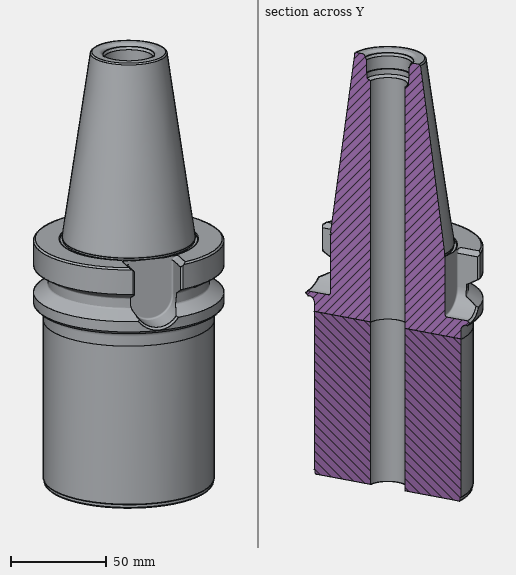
import cadquery as cq
import math

total_height = 237.8
sleeve_height = 90.0
flange_bottom_z = 98.0
flange_top_z = 134.5
gauge_z = 136.0

gauge_radius = 35.0
taper_ratio = 7 / 48
tip_chamfer_height = 0.7
tip_chamfer_depth = 0.7

taper_land_height = 0.7
relief_ring_radius = 36.6
relief_ring_depth = 0.5
relief_ring_undercut = 0.2

flange_diameter = 100.0
flange_radius = flange_diameter / 2
flange_top_chamfer = 1.0
flange_bottom_chamfer = 1.5
groove_top_z = 120.0
groove_bottom_z = 105.0
groove_radius = 42.3
groove_flank_angle = 30.0
groove_fillet = 1.0

body_radius = 45.0
neck_fillet = 2.9
rim_radius = 44.5
rim_height = 2.1
rim_step_height = 0.5
rim_chamfer = 0.7

bore_radius = 10.5
mouth_radius = 15.5
counterbore_radius = 13.5
mouth_depth = 1.5
counterbore_depth = 1.7
thread_radius = 12.8
thread_start_depth = 3.0
thread_end_depth = 10.0
core_radius = 12.5
core_taper_height = 0.2
core_depth = 13.0
core_cone_height = 1.2

slot_width = 25.5
slot_lowest_z = 100.8
slot_wall_x = 35.2
slot_wall_fillet = 1.0
top_bevel_width = 2.9
top_bevel_height = 2.4
corner_chamfer = 1.2
corner_tolerance = 0.2


def revolve_profile(outline):
    return outline.close().revolve(360, (0, 0, 0), (0, 1, 0))


def make_shank():
    """Tapered shank, grooved flange and neck, turned as one profile."""
    flank_height = (flange_radius - groove_radius) * math.tan(math.radians(groove_flank_angle))
    tip_radius = gauge_radius - (total_height - gauge_z) * taper_ratio
    chamfer_start_radius = tip_radius + tip_chamfer_height * taper_ratio
    neck_corner = (body_radius + neck_fillet, flange_bottom_z)
    land_bottom_z = gauge_z - taper_land_height
    relief_floor_z = flange_top_z - relief_ring_depth
    relief_root_radius = gauge_radius - relief_ring_undercut
    outline = (
        cq.Workplane("XZ")
        .moveTo(0, sleeve_height)
        .lineTo(body_radius, sleeve_height)
        .lineTo(body_radius, flange_bottom_z - neck_fillet)
        .radiusArc(neck_corner, neck_fillet)
        .lineTo(flange_radius - flange_bottom_chamfer, flange_bottom_z)
        .lineTo(flange_radius, flange_bottom_z + flange_bottom_chamfer)
        .lineTo(flange_radius, groove_bottom_z)
        .lineTo(groove_radius, groove_bottom_z + flank_height)
        .lineTo(groove_radius, groove_top_z - flank_height)
        .lineTo(flange_radius, groove_top_z)
        .lineTo(flange_radius, flange_top_z - flange_top_chamfer)
        .lineTo(flange_radius - flange_top_chamfer, flange_top_z)
        .lineTo(relief_ring_radius, flange_top_z)
        .lineTo(relief_ring_radius - relief_ring_depth, relief_floor_z)
        .lineTo(relief_root_radius, relief_floor_z)
        .lineTo(relief_root_radius, land_bottom_z - relief_ring_undercut)
        .lineTo(gauge_radius, land_bottom_z)
        .lineTo(gauge_radius, gauge_z)
        .lineTo(chamfer_start_radius, total_height - tip_chamfer_height)
        .lineTo(tip_radius - tip_chamfer_depth, total_height)
        .lineTo(0, total_height)
    )
    shank = revolve_profile(outline)
    root_selector = cq.selectors.BoxSelector(
        (-flange_radius, -flange_radius, groove_bottom_z + flank_height / 2),
        (flange_radius, flange_radius, groove_top_z - flank_height / 2),
        boundingbox=False,
    )
    return shank.edges(root_selector).edges("%CIRCLE").fillet(groove_fillet)


def make_shank_bore():
    """Stepped bore through the shank, opening at the small end with a rounded mouth."""
    mouth_arc_radius = math.hypot(mouth_radius - counterbore_radius, mouth_depth)
    return revolve_profile(
        cq.Workplane("XZ")
        .moveTo(0, sleeve_height)
        .lineTo(bore_radius, sleeve_height)
        .lineTo(bore_radius, total_height - core_depth - core_cone_height)
        .lineTo(core_radius, total_height - core_depth)
        .lineTo(core_radius, total_height - thread_end_depth - core_taper_height)
        .lineTo(thread_radius, total_height - thread_end_depth)
        .lineTo(thread_radius, total_height - thread_start_depth)
        .lineTo(counterbore_radius, total_height - counterbore_depth)
        .lineTo(counterbore_radius, total_height - mouth_depth)
        .radiusArc((mouth_radius, total_height), mouth_arc_radius)
        .lineTo(0, total_height)
    )


def make_drive_slot():
    """Round-ended drive slot on the +X side, with bevelled top edges and a filleted back wall."""
    half_width = slot_width / 2
    arc_center_z = slot_lowest_z + half_width
    bevel_half_width = half_width + top_bevel_width
    bevel_bottom_z = flange_top_z - top_bevel_height
    slot = (
        cq.Workplane("YZ", origin=(slot_wall_x, 0, 0))
        .moveTo(-bevel_half_width, gauge_z)
        .lineTo(-bevel_half_width, flange_top_z)
        .lineTo(-half_width, bevel_bottom_z)
        .lineTo(-half_width, arc_center_z)
        .threePointArc((0, slot_lowest_z), (half_width, arc_center_z))
        .lineTo(half_width, bevel_bottom_z)
        .lineTo(bevel_half_width, flange_top_z)
        .lineTo(bevel_half_width, gauge_z)
        .close()
        .extrude(flange_radius - slot_wall_x)
    )
    return slot.faces("<X").edges("not >Z").fillet(slot_wall_fillet)


def make_holder():
    """Tool holder body above the sleeve, with the outer slot corners chamfered."""
    holder = make_shank().cut(make_shank_bore())
    slot = make_drive_slot()
    for angle in (0, 180):
        holder = holder.cut(slot.rotate((0, 0, 0), (0, 0, 1), angle))

    half_width = slot_width / 2 + corner_tolerance
    corner_x = math.sqrt(flange_radius**2 - half_width**2) - corner_tolerance
    for side in (-1, 1):
        corners = cq.selectors.BoxSelector(
            (side * corner_x, -half_width, slot_lowest_z),
            (side * flange_radius, half_width, flange_top_z - top_bevel_height),
        )
        holder = holder.edges(corners).chamfer(corner_chamfer)
    return holder


def make_sleeve():
    """Plain cylinder below the neck, with a slightly reduced rim and a through bore."""
    return revolve_profile(
        cq.Workplane("XZ")
        .moveTo(bore_radius, 0)
        .lineTo(rim_radius - rim_chamfer, 0)
        .lineTo(rim_radius, rim_chamfer)
        .lineTo(rim_radius, rim_height)
        .lineTo(body_radius, rim_height + rim_step_height)
        .lineTo(body_radius, sleeve_height)
        .lineTo(bore_radius, sleeve_height)
    )


holder = make_holder()
sleeve = make_sleeve()

result = cq.Compound.makeCompound([holder.val(), sleeve.val()])